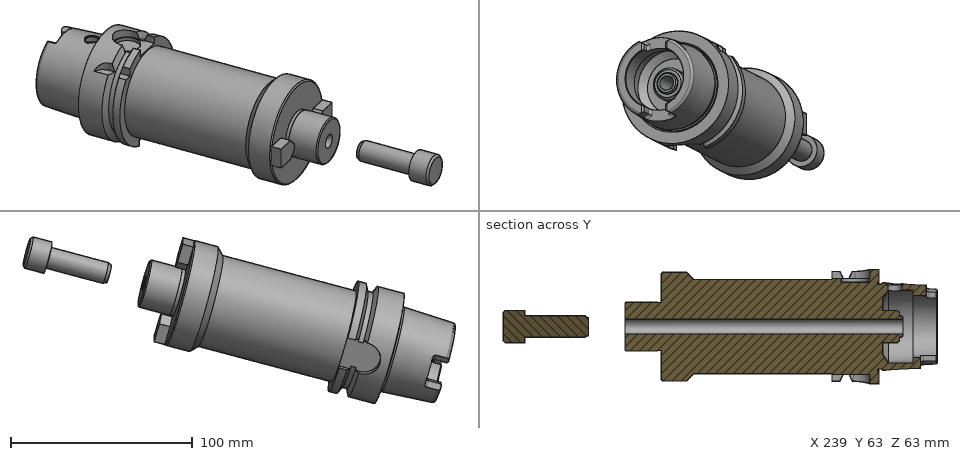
import cadquery as cq
import math


shank_length = 32.0
taper_gauge_radius = 24.0
taper_gauge_x = -6.3
taper_slope = 0.05
shank_end_fillet = 1.5
relief_length = 2.0
relief_radius = 23.4
face_groove_radius = 25.2
face_groove_depth = 0.8

mouth_radius = 34.5 / 2
mouth_chamfer_length = 0.5
lip_radius = 34.0 / 2
lip_depth = 13.4
clamp_radius = 40.0 / 2
clamp_end_x = -5.0
floor_x = -2.0
floor_radius = 15.5

nut_radius = 18.0 / 2
nut_chamfer = 1.2
nut_end_x = -11.2
tube_radius = 12.0 / 2
tube_chamfer = 0.7
tube_end_x = -13.0
coolant_hole_radius = 8.0 / 2

flange_radius = 31.5
flange_width = 26.0
groove_start_x = 14.8
groove_end_x = 21.6
groove_flank_length = 2.0
groove_floor_radius = 27.5

body_radius = 26.0
collar_radius = 30.0
collar_face_x = 120.0
collar_cone_start_x = 102.0
collar_start_x = 106.0
collar_edge_chamfer = 0.8
spigot_radius = 27.0 / 2
spigot_end_x = 140.0
spigot_chamfer = 0.7
undercut_radius = 26.6 / 2
undercut_length = 2.0

slot_width = 12.54
slot_inner_z = 10.0
slot_outer_z = 26.0
slot_flare_start_z = 19.0
slot_flare_half_width = 9.6
slot_flare_end_z = 20.7
slot_corner_radius = 1.5
slot_mouth_half_width = 7.5
slot_mouth_length = 0.6
upper_slot_depth = 6.0
lower_slot_depth = 9.2

access_hole_x = -8.7
access_hole_diameter = 7.5
access_mouth_diameter = 8.5
access_mouth_depth = 1.0
access_hole_start_z = 18.0

keyway_start_x = 5.2
upper_keyway_radius = 8.1
lower_keyway_radius = 9.0
notch_radius = 8.1
keyway_floor_z = 26.5
chip_radius = 7.5
chip_depth = 2.0
notch_offset = 19.8

tongue_width = 12.0
tongue_outer_y = 29.3
tongue_flat_y = 18.5
tongue_inner_y = 14.0
tongue_height = 6.0
tongue_root = 1.5

screw_tip_x = 160.0
screw_shank_length = 35.0
screw_head_length = 12.0
screw_radius = 12.0 / 2
screw_head_radius = 18.0 / 2
screw_tip_length = 2.0
screw_tip_radius = 5.0
screw_head_chamfer = 1.2


def taper_radius(x):
    return taper_gauge_radius + taper_slope * (x - taper_gauge_x)


def revolve_about_x(points):
    """Solid of revolution from (x, radius) points."""
    return cq.Workplane("XY").polyline(points).close().revolve(360, (0, 0, 0), (1, 0, 0))


def outer_body():
    end_x = -shank_length
    fillet_x = end_x + shank_end_fillet
    fillet_top = taper_radius(fillet_x)
    fillet_inset = shank_end_fillet * (1 - math.sqrt(0.5))
    profile = (
        cq.Workplane("XY")
        .moveTo(end_x, 0)
        .lineTo(end_x, fillet_top - shank_end_fillet)
        .threePointArc((end_x + fillet_inset, fillet_top - fillet_inset), (fillet_x, fillet_top))
        .lineTo(-relief_length, taper_radius(-relief_length))
        .lineTo(-relief_length / 2, relief_radius)
        .lineTo(face_groove_depth, relief_radius)
        .lineTo(face_groove_depth, face_groove_radius - face_groove_depth)
        .lineTo(0, face_groove_radius)
        .lineTo(0, flange_radius)
        .lineTo(groove_start_x, flange_radius)
        .lineTo(groove_start_x + groove_flank_length, groove_floor_radius)
        .lineTo(groove_end_x - groove_flank_length, groove_floor_radius)
        .lineTo(groove_end_x, flange_radius)
        .lineTo(flange_width, flange_radius)
        .lineTo(flange_width, body_radius)
        .lineTo(collar_cone_start_x, body_radius)
        .lineTo(collar_start_x, collar_radius)
        .lineTo(collar_face_x - collar_edge_chamfer, collar_radius)
        .lineTo(collar_face_x, collar_radius - collar_edge_chamfer)
        .lineTo(collar_face_x, undercut_radius)
        .lineTo(collar_face_x + undercut_length, undercut_radius)
        .lineTo(collar_face_x + undercut_length, spigot_radius)
        .lineTo(spigot_end_x - spigot_chamfer, spigot_radius)
        .lineTo(spigot_end_x, spigot_radius - spigot_chamfer)
        .lineTo(spigot_end_x, 0)
        .close()
    )
    return profile.revolve(360, (0, 0, 0), (1, 0, 0))


def shank_bore():
    end_x = -shank_length
    lip_x = end_x + lip_depth
    return revolve_about_x([
        (end_x, 0),
        (end_x, mouth_radius),
        (end_x + mouth_chamfer_length, lip_radius),
        (lip_x, lip_radius),
        (lip_x, clamp_radius),
        (clamp_end_x, clamp_radius),
        (floor_x, floor_radius),
        (floor_x, nut_radius),
        (nut_end_x + nut_chamfer, nut_radius),
        (nut_end_x, nut_radius - nut_chamfer),
        (nut_end_x, tube_radius),
        (tube_end_x + tube_chamfer, tube_radius),
        (tube_end_x, tube_radius - tube_chamfer),
        (tube_end_x, 0),
    ])


def coolant_hole():
    return (
        cq.Workplane("YZ", origin=(tube_end_x, 0, 0))
        .circle(coolant_hole_radius)
        .extrude(spigot_end_x - tube_end_x)
    )


def drive_slot(depth, side):
    """Slot cutter with walls flaring near the outer surface; side is +1 for +Z, -1 for -Z."""
    half = slot_width / 2
    right = [
        (half, slot_inner_z),
        (half, slot_flare_start_z),
        (slot_flare_half_width, slot_flare_end_z),
        (slot_flare_half_width, slot_outer_z),
    ]
    left = [(-y, z) for y, z in reversed(right)]
    profile = [(y, side * z) for y, z in right + left]
    return (
        cq.Workplane("YZ", origin=(-shank_length, 0, 0))
        .polyline(profile).close()
        .extrude(depth)
        .faces(">X").edges("not |Y")
        .fillet(slot_corner_radius)
    )


def slot_mouth(side):
    """Wedge that bevels the slot walls where they meet the end face."""
    end_x = -shank_length
    inner_x = end_x + slot_mouth_length
    half = slot_width / 2
    return (
        cq.Workplane("XY", origin=(0, 0, side * slot_inner_z))
        .polyline([
            (end_x, -slot_mouth_half_width),
            (inner_x, -half),
            (inner_x, half),
            (end_x, slot_mouth_half_width),
        ]).close()
        .extrude(side * (slot_outer_z - slot_inner_z))
    )


def access_hole():
    mouth_z = taper_radius(access_hole_x) - access_mouth_depth
    hole = (
        cq.Workplane("XY", origin=(access_hole_x, 0, access_hole_start_z))
        .circle(access_hole_diameter / 2)
        .extrude(flange_radius - access_hole_start_z)
    )
    mouth = (
        cq.Workplane("XY", origin=(access_hole_x, 0, mouth_z))
        .circle(access_mouth_diameter / 2)
        .extrude(flange_radius - mouth_z)
    )
    return hole.union(mouth)


def open_keyway(radius, center_y, floor_z, height):
    """Round-ended cutter that leaves the flange on its +X side."""
    center_x = keyway_start_x + radius
    length = flange_width - center_x
    plane = cq.Workplane("XY", origin=(center_x, center_y, floor_z))
    round_end = plane.circle(radius).extrude(height)
    straight = plane.center(length / 2, 0).rect(length, 2 * radius).extrude(height)
    return round_end.union(straight)


def tongue(side):
    """Drive tongue with an inner end tapered at 45 degrees; side is +1 for +Y, -1 for -Y."""
    half = tongue_width / 2
    inner_half = half - (tongue_flat_y - tongue_inner_y)
    outline = [
        (tongue_outer_y, -half),
        (tongue_outer_y, half),
        (tongue_flat_y, half),
        (tongue_inner_y, inner_half),
        (tongue_inner_y, -inner_half),
        (tongue_flat_y, -half),
    ]
    return (
        cq.Workplane("YZ", origin=(collar_face_x - tongue_root, 0, 0))
        .polyline([(side * y, z) for y, z in outline]).close()
        .extrude(tongue_root + tongue_height)
    )


def make_arbor():
    depth = flange_radius - keyway_floor_z
    chip_center_x = keyway_start_x + upper_keyway_radius
    chip_pocket = (
        cq.Workplane("XY", origin=(chip_center_x, 0, keyway_floor_z - chip_depth))
        .circle(chip_radius)
        .extrude(depth + chip_depth)
    )
    arbor = outer_body()
    for side in (1, -1):
        arbor = arbor.union(tongue(side))
    arbor = arbor.cut(shank_bore())
    arbor = arbor.cut(coolant_hole())
    for side, slot_depth in ((1, upper_slot_depth), (-1, lower_slot_depth)):
        arbor = arbor.cut(drive_slot(slot_depth, side))
        arbor = arbor.cut(slot_mouth(side))
    arbor = arbor.cut(access_hole())
    arbor = arbor.cut(open_keyway(upper_keyway_radius, 0, keyway_floor_z, depth))
    arbor = arbor.cut(open_keyway(lower_keyway_radius, 0, -flange_radius, depth))
    arbor = arbor.cut(chip_pocket)
    notch_height = flange_radius - notch_offset
    arbor = arbor.cut(open_keyway(notch_radius, -notch_offset - notch_radius, notch_offset, notch_height))
    return arbor


def make_screw():
    head_x = screw_tip_x + screw_shank_length
    end_x = head_x + screw_head_length
    return revolve_about_x([
        (screw_tip_x, 0),
        (screw_tip_x, screw_tip_radius),
        (screw_tip_x + screw_tip_length, screw_radius),
        (head_x, screw_radius),
        (head_x, screw_head_radius),
        (end_x - screw_head_chamfer, screw_head_radius),
        (end_x, screw_head_radius - screw_head_chamfer),
        (end_x, 0),
    ])


arbor = make_arbor()
screw = make_screw()

result = cq.Compound.makeCompound([arbor.val(), screw.val()])